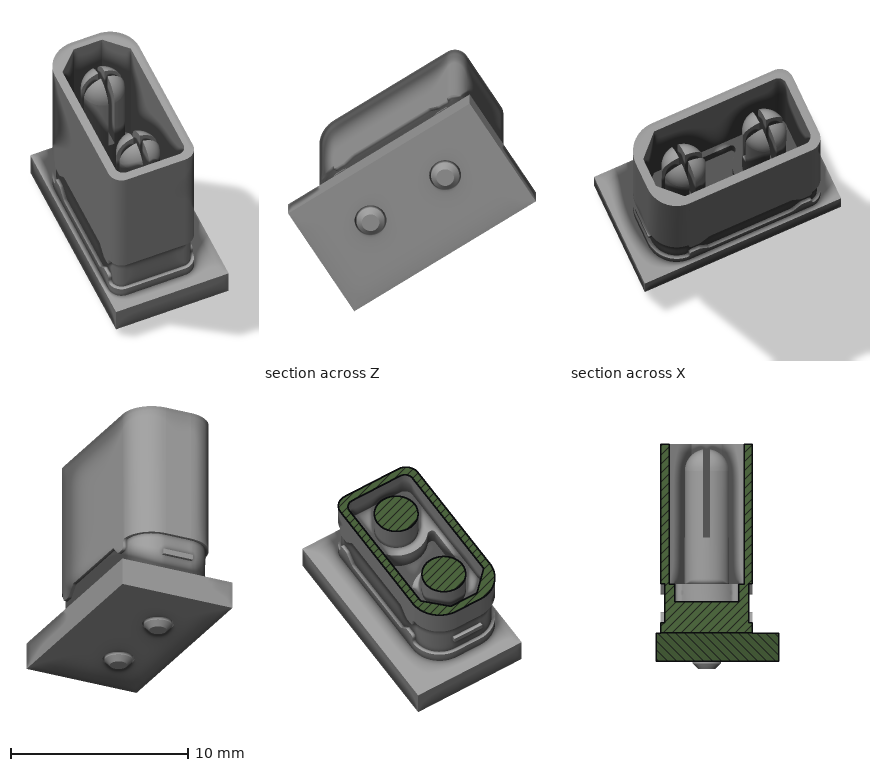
import cadquery as cq


board_length = 12.18
board_width = 6.93
board_thickness = 1.6
board_hole_diameter = 1.8

housing_length = 10.2
housing_width = 5.2
housing_x = 0.11
housing_y = -0.61
large_corner_radius = 1.8
small_corner_radius = 0.8
wall_thickness = 0.5
overall_height = 12.7

pin_spacing = 5.0
pin_diameter = 2.5
pin_top_drop = 0.28
pin_root = 0.6
pin_slot_width = 0.4
pin_slot_depth = 2 * pin_diameter
tail_diameter = 1.6
tail_protrusion = 0.41
tail_chamfer = 0.3

groove_depth = 0.2
groove_bottom = 0.6
groove_height = 2.2
tab_height = 0.6
tab_length = 0.65
tab_rounding = 0.2

bar_length = 1.85
bar_height = 0.3
bar_bottom = 1.5

cavity_chamfer = 1.23
cavity_corner_radius = 0.5
recess_length = 2.82
recess_width = 3.57
recess_pin_clearance = 0.55
recess_rounding = 0.2
recess_depth = 1.0

housing_height = overall_height - board_thickness - tail_protrusion
housing_left = -housing_length / 2
housing_right = housing_length / 2
groove_top = groove_bottom + groove_height
cavity_floor = groove_top
pin_top = housing_height - pin_top_drop
pin_offsets = [-pin_spacing / 2, pin_spacing / 2]
placement = cq.Vector(housing_x, housing_y, 0)


def housing_block(inset, bottom, height):
    """Upright block with the housing outline moved inward by `inset`."""
    block = (
        cq.Workplane("XY", origin=(0, 0, bottom))
        .rect(housing_length - 2 * inset, housing_width - 2 * inset)
        .extrude(height)
    )
    block = block.edges("|Z and <X").fillet(large_corner_radius - inset)
    return block.edges("|Z and >X").fillet(small_corner_radius - inset)


def groove_zone():
    """Groove area as seen on the long sides, carried through the full housing width."""
    tab_left = housing_left + large_corner_radius
    tab_right = housing_right - small_corner_radius
    half_height = groove_height / 2
    tab_edge = half_height - tab_height
    outline = [
        (housing_left, half_height),
        (tab_left, half_height),
        (tab_left, tab_edge),
        (tab_left + tab_length, tab_edge),
        (tab_left + tab_length + tab_height, half_height),
        (tab_right - tab_length - tab_height, half_height),
        (tab_right - tab_length, tab_edge),
        (tab_right, tab_edge),
        (tab_right, half_height),
        (housing_right, half_height),
    ]
    mirrored = [(x, -z) for x, z in reversed(outline)]
    zone = (
        cq.Workplane("XZ")
        .polyline(outline + mirrored)
        .close()
        .extrude(housing_width / 2, both=True)
    )
    inner_edges = cq.selectors.BoxSelector(
        (tab_left - tab_rounding, -housing_width, -groove_height),
        (tab_right + tab_rounding, housing_width, groove_height),
    )
    zone = zone.edges("|Y").edges(inner_edges).fillet(tab_rounding)
    return zone.translate((0, 0, groove_bottom + half_height))


def groove():
    """Material to remove from the foot of the housing."""
    core = housing_block(groove_depth, groove_bottom, groove_height)
    return groove_zone().cut(core)


def groove_bar():
    """Short bar across the end of the groove, flush with the housing."""
    blank_thickness = 2 * (groove_depth + wall_thickness / 2)
    blank = (
        cq.Workplane("XY", origin=(housing_left, 0, bar_bottom))
        .rect(blank_thickness, bar_length)
        .extrude(bar_height)
    )
    return blank.intersect(housing_block(0, 0, housing_height))


def cavity():
    """Open socket with two chamfered and two rounded corners."""
    block = (
        cq.Workplane("XY", origin=(0, 0, cavity_floor))
        .rect(housing_length - 2 * wall_thickness, housing_width - 2 * wall_thickness)
        .extrude(housing_height - cavity_floor)
    )
    block = block.edges("|Z and <X").chamfer(cavity_chamfer)
    return block.edges("|Z and >X").fillet(cavity_corner_radius)


def floor_recess():
    """Waisted recess in the cavity floor, hollowed around both pins."""
    recess = (
        cq.Workplane("XY", origin=(0, 0, cavity_floor - recess_depth))
        .rect(recess_length, recess_width)
        .extrude(recess_depth)
    )
    pin_surrounds = (
        cq.Workplane("XY", origin=(0, 0, cavity_floor - recess_depth))
        .pushPoints([(x, 0) for x in pin_offsets])
        .circle(pin_diameter / 2 + recess_pin_clearance)
        .extrude(recess_depth)
    )
    return recess.cut(pin_surrounds).edges("|Z").fillet(recess_rounding)


def contact():
    """Round-nosed pin split by a cross slot, with a solder tail below the housing."""
    pin_radius = pin_diameter / 2
    nose_start = pin_top - pin_radius
    nose = cq.Workplane("XY").sphere(pin_radius).translate((0, 0, nose_start))
    shank = (
        cq.Workplane("XY", origin=(0, 0, pin_root))
        .circle(pin_radius)
        .extrude(nose_start - pin_root)
    )
    pin = shank.union(nose)
    for slot_size in [(pin_diameter, pin_slot_width), (pin_slot_width, pin_diameter)]:
        slot = (
            cq.Workplane("XY", origin=(0, 0, pin_top - pin_slot_depth))
            .rect(*slot_size)
            .extrude(pin_slot_depth)
        )
        pin = pin.cut(slot)
    tail_length = board_thickness + tail_protrusion
    tail = (
        cq.Workplane("XY", origin=(0, 0, -tail_length))
        .circle(tail_diameter / 2)
        .extrude(tail_length + pin_root)
        .faces("<Z")
        .chamfer(tail_chamfer)
    )
    return pin.union(tail)


def make_connector():
    """Housing and its two contacts as one solid."""
    body = housing_block(0, 0, housing_height)
    body = body.cut(groove()).union(groove_bar())
    body = body.cut(cavity()).cut(floor_recess())
    for x in pin_offsets:
        body = body.union(contact().translate((x, 0, 0)))
    return body.translate(placement)


def make_board():
    """Plain board with a clearance hole for each solder tail."""
    bottom_plane = cq.Workplane("XY", origin=(0, 0, -board_thickness))
    plate = bottom_plane.rect(board_length, board_width).extrude(board_thickness)
    holes = (
        bottom_plane.pushPoints([(housing_x + x, housing_y) for x in pin_offsets])
        .circle(board_hole_diameter / 2)
        .extrude(board_thickness)
    )
    return plate.cut(holes)


connector = make_connector()
board = make_board()

result = cq.Compound.makeCompound([connector.val(), board.val()])